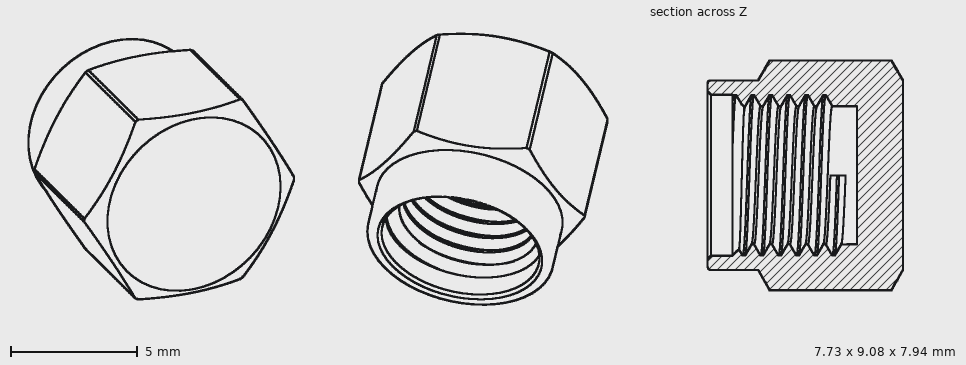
import cadquery as cq
import math

length = 7.73
collar_length = 2.0
collar_radius = 3.75
collar_edge_radius = 0.13
hexagon_sides = 6
across_flats = 7.94
corner_radius = 4.54
bevel_angle = 30.0

bore_depth = 5.9
relief_radius = 3.18
relief_end = 0.98
mouth_chamfer = 0.14
minor_radius = 2.72

pitch = 0.71
root_radius = 3.17
thread_turns = 6
thread_start = 0.91
flank_angle = 30.0
root_flat = pitch / 8
groove_overlap = 0.03


def revolve_about_x(profile):
    return profile.close().revolve(360, (0, 0, 0), (1, 0, 0))


def make_collar():
    collar = cq.Workplane("YZ").circle(collar_radius).extrude(length)
    return collar.faces("<X").edges().fillet(collar_edge_radius)


def make_hexagon():
    """Hexagonal body with corners on +Y and -Y, turned down at both ends."""
    corner_diameter = across_flats / math.cos(math.pi / hexagon_sides)
    hexagon = (
        cq.Workplane("YZ", origin=(collar_length, 0, 0))
        .polygon(hexagon_sides, corner_diameter)
        .extrude(length - collar_length)
    )
    bevel_length = (corner_radius - collar_radius) * math.tan(math.radians(bevel_angle))
    turned_envelope = revolve_about_x(
        cq.Workplane("XY")
        .moveTo(collar_length, 0)
        .lineTo(collar_length, collar_radius)
        .lineTo(collar_length + bevel_length, corner_radius)
        .lineTo(length - bevel_length, corner_radius)
        .lineTo(length, collar_radius)
        .lineTo(length, 0)
    )
    return hexagon.intersect(turned_envelope)


def make_bore():
    """Chamfered mouth, plain relief, 45 degree lead-in and minor bore."""
    lead_in_end = relief_end + relief_radius - minor_radius
    return revolve_about_x(
        cq.Workplane("XY")
        .lineTo(0, relief_radius + mouth_chamfer)
        .lineTo(mouth_chamfer, relief_radius)
        .lineTo(relief_end, relief_radius)
        .lineTo(lead_in_end, minor_radius)
        .lineTo(bore_depth, minor_radius)
        .lineTo(bore_depth, 0)
    )


def make_groove_turn():
    """Single turn of the thread groove, starting at -Z with its centre at X = 0."""
    inner_radius = minor_radius - groove_overlap
    flank_run = (root_radius - inner_radius) * math.tan(math.radians(flank_angle))
    half_root = root_flat / 2
    half_mouth = half_root + flank_run
    helix = cq.Wire.makeHelix(pitch, pitch, root_radius)
    return (
        cq.Workplane("XZ")
        .moveTo(inner_radius, -half_mouth)
        .lineTo(root_radius, -half_root)
        .lineTo(root_radius, half_root)
        .lineTo(inner_radius, half_mouth)
        .close()
        .sweep(cq.Workplane(obj=helix), isFrenet=True)
        .rotate((0, 0, 0), (0, 1, 0), 90)
    )


def cut_thread(body):
    """Cut the thread turn by turn, each turn continuing the one before it."""
    groove_turn = make_groove_turn()
    for turn in range(thread_turns):
        body = body.cut(groove_turn.translate((thread_start + turn * pitch, 0, 0)))
    return body


nut_blank = make_collar().union(make_hexagon())
result = cut_thread(nut_blank.cut(make_bore()))